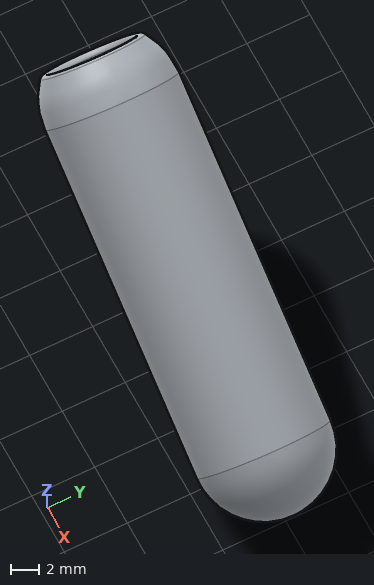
import cadquery as cq
import math

outer_diameter = 10.35
bore_diameter = 6.45
body_length = 26.9
mouth_curve_radius = 5.75
lip_radius = 0.47
tilt = 30.0

outer_radius = outer_diameter / 2
bore_radius = bore_diameter / 2

mouth_curve_center = outer_radius - mouth_curve_radius

lip_center_radius = bore_radius + lip_radius
lip_center_distance = mouth_curve_radius - lip_radius
lip_center_offset = lip_center_radius - mouth_curve_center
lip_center_height = math.sqrt(lip_center_distance**2 - lip_center_offset**2)
dome_angle = math.atan2(lip_center_height, lip_center_offset)
lip_middle_angle = (dome_angle + math.pi) / 2


def dome_point(angle):
    """Point on the open dome, as (radius, height above the closed dome's center)."""
    return (
        mouth_curve_center + mouth_curve_radius * math.cos(angle),
        body_length + mouth_curve_radius * math.sin(angle),
    )


def lip_point(angle):
    """Point on the lip circle, in the same profile plane."""
    return (
        lip_center_radius + lip_radius * math.cos(angle),
        body_length + lip_center_height + lip_radius * math.sin(angle),
    )


def make_sleeve():
    """Revolve the half profile around Z, with the closed dome's center at the origin."""
    closed_dome_middle = (
        outer_radius * math.cos(math.pi / 4),
        -outer_radius * math.sin(math.pi / 4),
    )
    profile = (
        cq.Workplane("XZ")
        .moveTo(0, -outer_radius)
        .threePointArc(closed_dome_middle, (outer_radius, 0))
        .lineTo(outer_radius, body_length)
        .threePointArc(dome_point(dome_angle / 2), dome_point(dome_angle))
        .threePointArc(lip_point(lip_middle_angle), lip_point(math.pi))
        .lineTo(bore_radius, 0)
        .lineTo(0, 0)
        .close()
    )
    return profile.revolve(360, (0, 0, 0), (0, 1, 0))


result = make_sleeve().rotate((0, 0, 0), (0, 1, 0), tilt - 90)